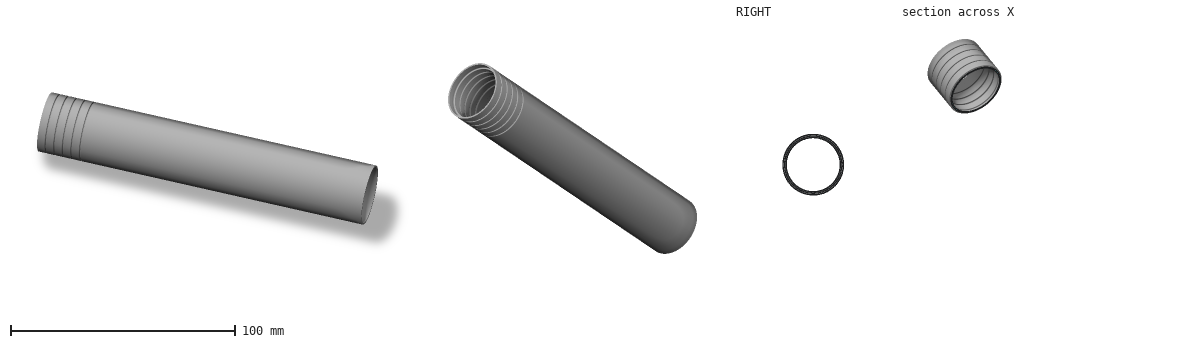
import cadquery as cq
length = 150.4
outer_diameter = 27.0
bore_diameter = 25.5

bead_depth = 0.8
shoulder_fillet = 0.23
root_fillet = 0.2
bead_count = 5

first_groove = 3.8
last_groove = 19.7
groove_width = 0.5

rib_offset = 0.9
rib_width = 3.2

outer_radius = outer_diameter / 2
bore_radius = bore_diameter / 2
bead_pitch = (last_groove - first_groove) / (bead_count - 1)


def bead(center, width, radius):
    """Ring that reaches inward from a radius, flared there and rounded at its tip."""
    half = width / 2
    flare = half + shoulder_fillet
    flat = half - root_fillet
    shoulder = radius - shoulder_fillet
    tip = radius - bead_depth
    root = tip + root_fillet
    return (
        cq.Workplane("XY", origin=(center, 0, 0))
        .moveTo(-flare, radius)
        .radiusArc((-half, shoulder), shoulder_fillet)
        .lineTo(-half, root)
        .radiusArc((-flat, tip), -root_fillet)
        .lineTo(flat, tip)
        .radiusArc((half, root), -root_fillet)
        .lineTo(half, shoulder)
        .radiusArc((flare, radius), shoulder_fillet)
        .close()
        .revolve(360, (0, 0, 0), (1, 0, 0))
    )


tube = (
    cq.Workplane("YZ", origin=(-length / 2, 0, 0))
    .circle(outer_radius)
    .circle(bore_radius)
    .extrude(length)
)

for index in range(bead_count):
    groove_x = -length / 2 + first_groove + index * bead_pitch
    tube = tube.union(bead(groove_x + rib_offset, rib_width, bore_radius))
    tube = tube.cut(bead(groove_x, groove_width, outer_radius))

result = tube